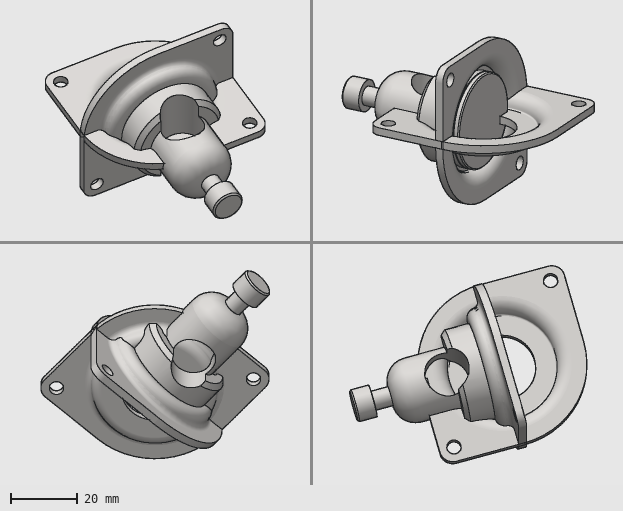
import cadquery as cq
import math


plate_size = 51.0
plate_radius = plate_size / 2
plate_thickness = 2.5
plate_corner_radius = 4.0
screw_hole_diameter = 4.3
screw_hole_offset = 21.0
dish_drop = 4.5
dish_mouth_radius = 21.0
dish_mouth_bend = 4.5
dish_floor_bend = 0.5
dish_bend_angle = math.degrees(math.acos(1 - dish_drop / (dish_mouth_bend + dish_floor_bend)))
plate_hole_diameter = 20.1

level_plate_top = plate_thickness
upright_plate_front = -0.5
upright_floor_front = upright_plate_front + dish_drop
upright_floor_back = upright_floor_front + plate_thickness

disc_radius = 30.0 / 2
disc_chamfer = 0.4
disc_groove_start = 1.7
disc_groove_width = 0.3
disc_groove_radius = 21.0 / 2
barrel_radius = 20.0 / 2
shoulder_end = 15.5
shoulder_chamfer = 1.5
barrel_end = 35.0
dome_radius = 7.0
cross_hole_diameter = 13.4
cross_hole_x = 17.3

pin_tip = 23.0
pin_radius = 6.0 / 2
pin_head_radius = 10.0 / 2
pin_head_start = 40.5
pin_end = 46.5
pin_head_chamfer = 0.5


def arc_point(center, radius, angle):
    """Point on an arc at the given angle in degrees."""
    turn = math.radians(angle)
    return (center[0] + radius * math.cos(turn), center[1] + radius * math.sin(turn))


def make_plate():
    """Plate with its front face at Z = 0, its dish hanging down and its axis on Z."""
    sheet = cq.Workplane("XY").circle(plate_radius).extrude(-plate_thickness)
    for side in (-1, 1):
        corner = (
            cq.Workplane("XY")
            .center(side * plate_radius / 2, side * plate_radius / 2)
            .rect(plate_radius, plate_radius)
            .extrude(-plate_thickness)
            .edges("|Z and <X and <Y" if side < 0 else "|Z and >X and >Y")
            .fillet(plate_corner_radius)
        )
        sheet = sheet.union(corner)

    screw_holes = (
        cq.Workplane("XY")
        .pushPoints([(side * screw_hole_offset, side * screw_hole_offset) for side in (-1, 1)])
        .circle(screw_hole_diameter / 2)
        .extrude(-plate_thickness)
    )
    mouth = cq.Workplane("XY").circle(dish_mouth_radius).extrude(-plate_thickness)
    return sheet.cut(screw_holes).cut(mouth).union(make_dish())


def make_dish():
    """Ring of curved wall and flat floor that fills the mouth of the plate."""
    hole_radius = plate_hole_diameter / 2
    floor_back = -dish_drop - plate_thickness
    bend_turn = math.radians(dish_bend_angle)
    floor_edge_radius = dish_mouth_radius - (dish_mouth_bend + dish_floor_bend) * math.sin(bend_turn)
    mouth_center = (dish_mouth_radius, -dish_mouth_bend)
    floor_center = (floor_edge_radius, -dish_drop + dish_floor_bend)
    mouth_back_bend = dish_mouth_bend - plate_thickness
    floor_back_bend = dish_floor_bend + plate_thickness
    mouth_end = 90 + dish_bend_angle
    mouth_middle = 90 + dish_bend_angle / 2
    floor_end = -90 + dish_bend_angle
    floor_middle = -90 + dish_bend_angle / 2
    profile = (
        cq.Workplane("XZ")
        .moveTo(hole_radius, -dish_drop)
        .lineTo(floor_edge_radius, -dish_drop)
        .threePointArc(
            arc_point(floor_center, dish_floor_bend, floor_middle),
            arc_point(floor_center, dish_floor_bend, floor_end),
        )
        .threePointArc(
            arc_point(mouth_center, dish_mouth_bend, mouth_middle),
            (dish_mouth_radius, 0),
        )
        .lineTo(dish_mouth_radius, -plate_thickness)
        .threePointArc(
            arc_point(mouth_center, mouth_back_bend, mouth_middle),
            arc_point(mouth_center, mouth_back_bend, mouth_end),
        )
        .threePointArc(
            arc_point(floor_center, floor_back_bend, floor_middle),
            (floor_edge_radius, floor_back),
        )
        .lineTo(hole_radius, floor_back)
        .close()
    )
    return profile.revolve(360, (0, 0, 0), (0, 1, 0))


def half_space(side):
    """Block that holds everything on one side of the XZ plane."""
    reach = 2 * plate_size
    return cq.Workplane("XY").box(reach, reach, reach).translate((0, side * reach / 2, 0))


def make_housing():
    """Solid of revolution about X, crossed by a vertical through hole."""
    dome_center = (barrel_end - dome_radius, barrel_radius - dome_radius)
    groove_end = disc_groove_start + disc_groove_width
    profile = (
        cq.Workplane("XY")
        .moveTo(0, 0)
        .lineTo(0, disc_radius - disc_chamfer)
        .lineTo(disc_chamfer, disc_radius)
        .lineTo(disc_groove_start, disc_radius)
        .lineTo(disc_groove_start, disc_groove_radius)
        .lineTo(groove_end, disc_groove_radius)
        .lineTo(groove_end, disc_radius)
        .lineTo(upright_floor_front, disc_radius)
        .lineTo(upright_floor_front, barrel_radius)
        .lineTo(upright_floor_back, barrel_radius)
        .lineTo(upright_floor_back, disc_radius)
        .lineTo(shoulder_end - shoulder_chamfer, disc_radius)
        .lineTo(shoulder_end, disc_radius - shoulder_chamfer)
        .lineTo(shoulder_end, barrel_radius)
        .lineTo(barrel_end - dome_radius, barrel_radius)
        .threePointArc(
            arc_point(dome_center, dome_radius, 45),
            (barrel_end, barrel_radius - dome_radius),
        )
        .lineTo(barrel_end, 0)
        .close()
    )
    cross_hole = (
        cq.Workplane("XY")
        .center(cross_hole_x, 0)
        .circle(cross_hole_diameter / 2)
        .extrude(2 * disc_radius, both=True)
    )
    return profile.revolve(360, (0, 0, 0), (1, 0, 0)).cut(cross_hole)


def make_pin():
    """Shank that runs through the barrel end into the cross hole, with a round head outside."""
    shank = cq.Workplane("YZ", origin=(pin_tip, 0, 0)).circle(pin_radius).extrude(pin_head_start - pin_tip)
    head = (
        cq.Workplane("YZ", origin=(pin_head_start, 0, 0))
        .circle(pin_head_radius)
        .extrude(pin_end - pin_head_start)
        .faces(">X")
        .chamfer(pin_head_chamfer)
    )
    return shank.union(head)


plate = make_plate()
level_blank = plate.translate((0, 0, level_plate_top))
upright_blank = plate.rotate((0, 0, 0), (0, 1, 0), -90).translate((upright_plate_front, 0, 0))
pin = make_pin()

level_plate = level_blank.cut(upright_blank.intersect(half_space(-1))).cut(pin)
upright_plate = upright_blank.cut(level_blank.intersect(half_space(1)))

housing = make_housing().cut(level_blank).cut(upright_blank).cut(pin)

result = cq.Compound.makeCompound([
    level_plate.solids().val(),
    upright_plate.solids().val(),
    housing.solids().val(),
    pin.solids().val(),
])